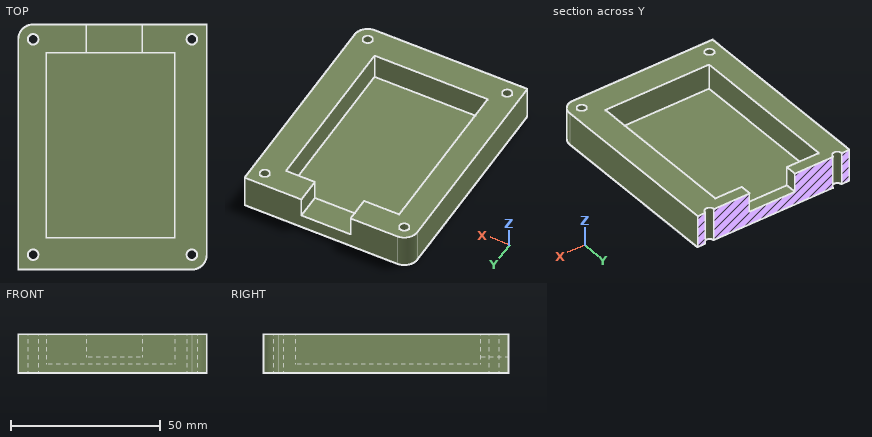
import cadquery as cq

width = 63.0
length = 81.9
height = 13.0
corner_radius = 5.0

hole_diameter = 3.4
hole_inset = corner_radius

pocket_width = 43.0
pocket_length = 61.8
pocket_depth = 10.0
pocket_left_wall = 9.3
pocket_back_wall = 9.4

notch_width = 18.7
notch_depth = 7.5
notch_left = 22.7


def top_cut(left, front, size_x, size_y, depth):
    """Rectangular cutter reaching down from the top face."""
    return cq.Workplane("XY").box(size_x, size_y, depth, centered=False).translate(
        (left, front, height - depth)
    )


block = cq.Workplane("XY").box(width, length, height, centered=False)
block = block.edges(cq.selectors.NearestToPointSelector((0, length, height / 2))).fillet(corner_radius)
block = block.edges(cq.selectors.NearestToPointSelector((width, 0, height / 2))).fillet(corner_radius)

pocket_front = length - pocket_back_wall - pocket_length
pocket = top_cut(pocket_left_wall, pocket_front, pocket_width, pocket_length, pocket_depth)
notch = top_cut(notch_left, length - pocket_back_wall, notch_width, pocket_back_wall, notch_depth)

hole_centres = [
    (x, y)
    for x in (hole_inset, width - hole_inset)
    for y in (hole_inset, length - hole_inset)
]
holes = cq.Workplane("XY").pushPoints(hole_centres).circle(hole_diameter / 2).extrude(height)

result = block.cut(pocket).cut(notch).cut(holes)